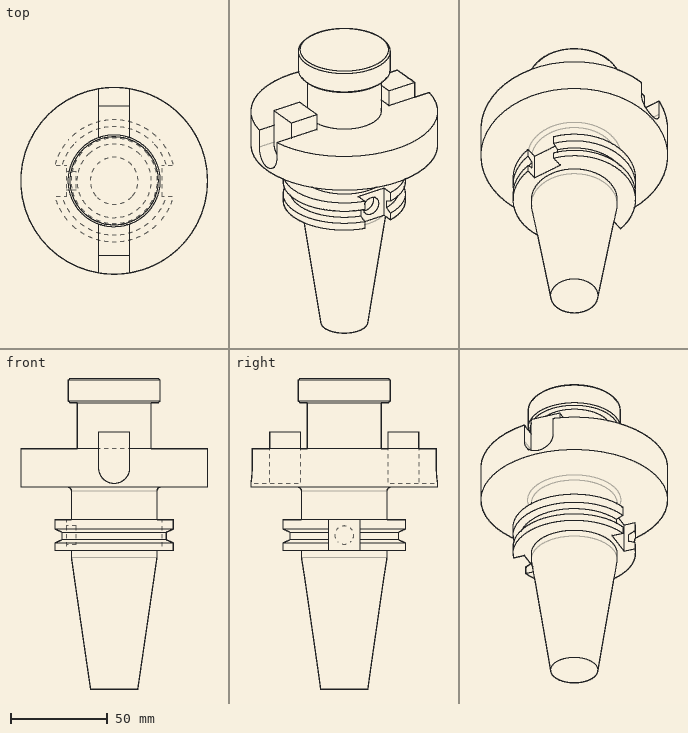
import cadquery as cq

total_height = 161.0
taper_rate = 7 / 24
gauge_height = 68.2
gauge_radius = 22.2
taper_tip_radius = gauge_radius - gauge_height * taper_rate / 2

flange_bottom = 71.8
flange_top = 87.9
flange_radius = 31.7
groove_radius = 28.2
groove_floor_bottom = 77.5
groove_floor_top = 81.3
groove_bevel = 1.6

drive_slot_width = 16.1
drive_slot_floor = 24.6
dimple_diameter = 9.7
dimple_depth = 4.8

neck_radius = gauge_radius
disc_bottom = 104.6
disc_top = 124.6
disc_diameter = 96.7
disc_radius = disc_diameter / 2
neck_fillet = 2.0
pilot_radius = 19.2

cap_bottom = 148.2
cap_radius = 23.8
cap_chamfer = 1.0

key_width = 16.1
key_inner = 22.5
key_length = 16.1
key_top = 133.3
key_bottom = 106.5


def round_bottom_bar(top, length):
    """Bar with a half-round underside, running along +Y from the key's inner face."""
    half = key_width / 2
    shoulder = key_bottom + half
    return (
        cq.Workplane("XZ", origin=(0, key_inner, 0))
        .moveTo(-half, top)
        .lineTo(-half, shoulder)
        .threePointArc((0, key_bottom), (half, shoulder))
        .lineTo(half, top)
        .close()
        .extrude(-length)
    )


def make_blank():
    """Turned profile of the holder, without the cap."""
    profile = [
        (0, 0),
        (taper_tip_radius, 0),
        (gauge_radius, gauge_height),
        (gauge_radius, flange_bottom),
        (flange_radius, flange_bottom),
        (flange_radius, groove_floor_bottom - groove_bevel),
        (groove_radius, groove_floor_bottom),
        (groove_radius, groove_floor_top),
        (flange_radius, groove_floor_top + groove_bevel),
        (flange_radius, flange_top),
        (neck_radius, flange_top),
        (neck_radius, disc_bottom),
        (disc_radius, disc_bottom),
        (disc_radius, disc_top),
        (pilot_radius, disc_top),
        (pilot_radius, cap_bottom),
        (0, cap_bottom),
    ]
    blank = cq.Workplane("XZ").polyline(profile).close().revolve(360, (0, 0, 0), (0, 1, 0))
    reach = neck_radius + neck_fillet
    corner = cq.selectors.BoxSelector(
        (-reach, -reach, disc_bottom - neck_fillet),
        (reach, reach, disc_bottom + neck_fillet),
        boundingbox=True,
    )
    return blank.edges(corner).fillet(neck_fillet)


def make_drive_slot():
    """Cutter for the drive slot on the +X side of the flange."""
    return cq.Workplane("XY", origin=(drive_slot_floor, 0, flange_bottom)).box(
        flange_radius, drive_slot_width, flange_top - flange_bottom, centered=(False, True, False)
    )


def make_dimple():
    """Cutter for the blind hole in the floor of the -X drive slot."""
    middle = (flange_bottom + flange_top) / 2
    return (
        cq.Workplane("YZ", origin=(-drive_slot_floor, 0, middle))
        .circle(dimple_diameter / 2)
        .extrude(dimple_depth)
    )


def make_holder():
    holder = make_blank()
    key_slot = round_bottom_bar(disc_top, disc_radius)
    for angle in (0, 180):
        holder = holder.cut(make_drive_slot().rotate((0, 0, 0), (0, 0, 1), angle))
        holder = holder.cut(key_slot.rotate((0, 0, 0), (0, 0, 1), angle))
    return holder.cut(make_dimple())


def make_cap():
    return (
        cq.Workplane("XY", origin=(0, 0, cap_bottom))
        .circle(cap_radius)
        .extrude(total_height - cap_bottom)
        .edges()
        .chamfer(cap_chamfer)
    )


def make_key(angle):
    return round_bottom_bar(key_top, key_length).rotate((0, 0, 0), (0, 0, 1), angle)


holder = make_holder()
cap = make_cap()
keys = [make_key(angle).val() for angle in (0, 180)]

result = cq.Compound.makeCompound([holder.val(), cap.val(), *keys])